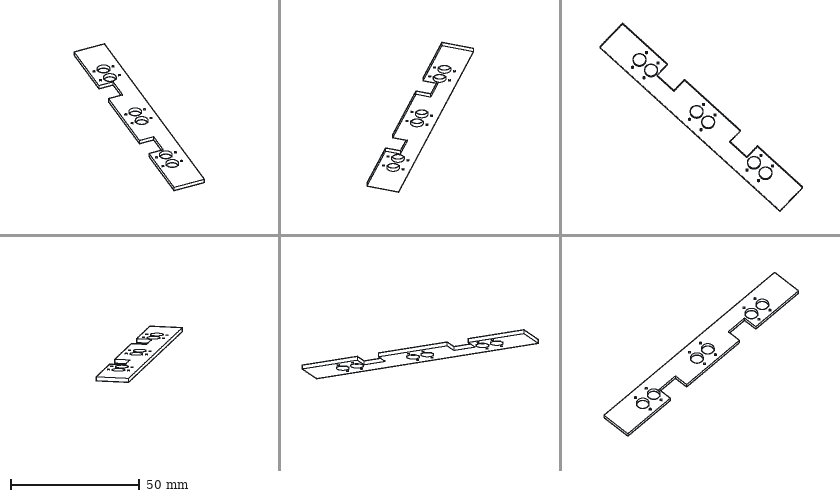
import cadquery as cq

length = 96.0
width = 13.0
thickness = 1.6

notch_width = 9.1
notch_depth = 6.0
notch_left_edges = (23.9, 62.8)

large_diameter = 5.0
pilot_diameter = 0.8
pair_spacing = 6.1
pilot_offset = 4.0
group_centers = ((17.8, 6.0), (48.2, 6.0), (78.4, 5.7))


def make_plate():
    return cq.Workplane("XY").box(length, width, thickness, centered=False)


def make_notch(left_edge):
    notch = cq.Workplane("XY").box(notch_width, notch_depth, thickness, centered=False)
    return notch.translate((left_edge, 0, 0))


def make_hole_group(center_x, center_y):
    """Cutters for one pair of large holes and their four pilot holes."""
    base = cq.Workplane("XY").center(center_x, center_y)
    large = base.rarray(pair_spacing, 1, 2, 1).circle(large_diameter / 2).extrude(thickness)
    pilots = (
        base.rarray(pair_spacing, 2 * pilot_offset, 2, 2)
        .circle(pilot_diameter / 2)
        .extrude(thickness)
    )
    return large.add(pilots).combine()


result = make_plate()
for left_edge in notch_left_edges:
    result = result.cut(make_notch(left_edge))
for center_x, center_y in group_centers:
    result = result.cut(make_hole_group(center_x, center_y))